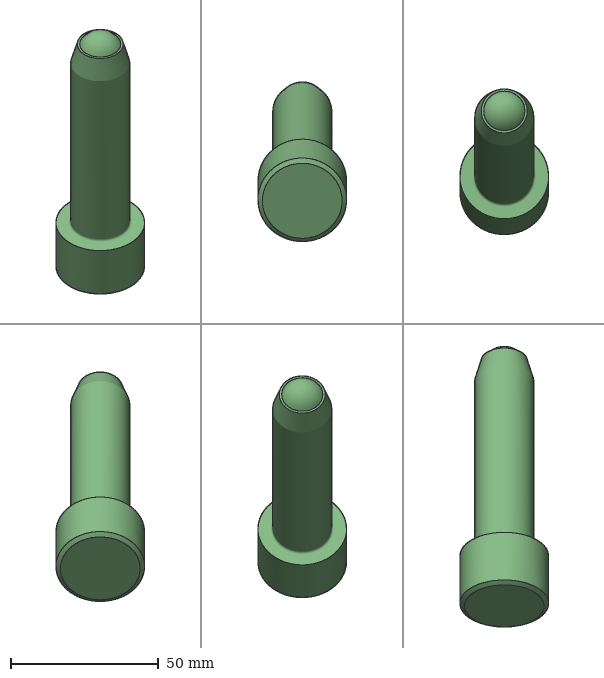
import cadquery as cq
import math

total_height = 102.0

head_radius = 15.0
head_height = 20.0
head_chamfer_width = 1.5
head_chamfer_height = 1.0

shank_radius = 10.0
root_fillet = 0.8

taper_height = 8.2
taper_top_radius = 7.8
ball_height = 4.1
ball_base_radius = 6.9

taper_top_z = total_height - ball_height
shank_top_z = taper_top_z - taper_height

ball_radius = (ball_base_radius**2 + ball_height**2) / (2 * ball_height)
ball_centre_z = total_height - ball_radius
half_angle = math.asin(ball_base_radius / ball_radius) / 2
ball_mid = (ball_radius * math.sin(half_angle), ball_centre_z + ball_radius * math.cos(half_angle))

fillet_inset = root_fillet * (1 - math.sqrt(0.5))
fillet_mid = (shank_radius + fillet_inset, head_height + fillet_inset)

profile = (
    cq.Workplane("XZ")
    .lineTo(head_radius - head_chamfer_width, 0)
    .lineTo(head_radius, head_chamfer_height)
    .lineTo(head_radius, head_height)
    .lineTo(shank_radius + root_fillet, head_height)
    .threePointArc(fillet_mid, (shank_radius, head_height + root_fillet))
    .lineTo(shank_radius, shank_top_z)
    .lineTo(taper_top_radius, taper_top_z)
    .lineTo(ball_base_radius, taper_top_z)
    .threePointArc(ball_mid, (0, total_height))
    .close()
)

result = profile.revolve(360, (0, 0, 0), (0, 1, 0))